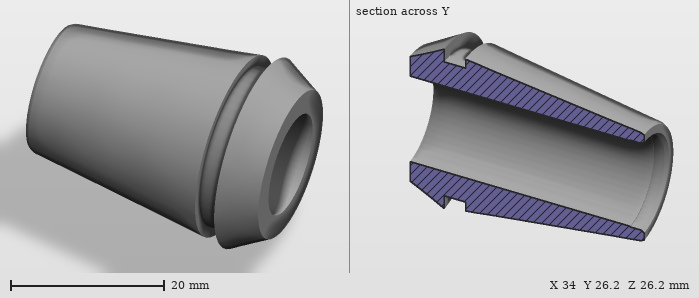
import cadquery as cq
import math

length = 34.0
nose_chamfer_length = 0.5
groove_start = 25.98
groove_end = 29.0

taper_angle = 8.0
body_radius = 12.48
nose_face_radius = 8.65
groove_radius = 11.0
collar_diameter = 26.2
collar_angle = 30.0

bore_radius = 6.97
counterbore_radius = 7.07
counterbore_depth = 2.0
entry_radius = 7.4
entry_chamfer_length = 0.5


def cone_drop(axial_length, half_angle):
    """Change in radius of a cone over an axial length."""
    return axial_length * math.tan(math.radians(half_angle))


taper_length = groove_start - nose_chamfer_length
taper_start_radius = body_radius - cone_drop(taper_length, taper_angle)
collar_radius = collar_diameter / 2
rear_face_radius = collar_radius - cone_drop(length - groove_end, collar_angle)

section = (
    cq.Workplane("XY")
    .moveTo(0, nose_face_radius)
    .lineTo(nose_chamfer_length, taper_start_radius)
    .lineTo(groove_start, body_radius)
    .lineTo(groove_start, groove_radius)
    .lineTo(groove_end, groove_radius)
    .lineTo(groove_end, collar_radius)
    .lineTo(length, rear_face_radius)
    .lineTo(length, bore_radius)
    .lineTo(counterbore_depth, bore_radius)
    .lineTo(counterbore_depth, counterbore_radius)
    .lineTo(entry_chamfer_length, counterbore_radius)
    .lineTo(0, entry_radius)
    .close()
)

result = section.revolve(360, (0, 0, 0), (1, 0, 0))